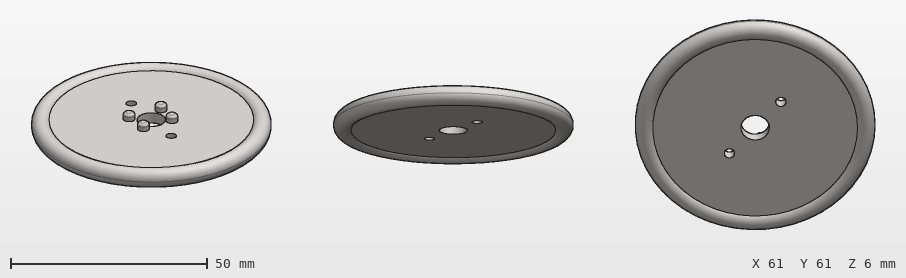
import cadquery as cq

outer_diameter = 61.0
rim_thickness = 5.0
plate_thickness = 3.0
overall_height = 6.0
bore_diameter = 7.2
side_hole_diameter = 2.6
side_hole_offset = 10.0
pin_diameter = 3.0
pin_edge_radius = 0.75
pin_offset_x = 3.2
left_pin_offset_y = 4.7
right_pin_offset_y = 4.2

rim_radius = rim_thickness / 2
rim_center_radius = outer_diameter / 2 - rim_radius
plate_top = plate_thickness / 2
pin_height = overall_height - rim_radius - plate_top


def make_rim():
    """Round-section ring around the plate."""
    return cq.Workplane(obj=cq.Solid.makeTorus(rim_center_radius, rim_radius))


def plate_bottom_plane():
    """Workplane on the underside of the plate."""
    return cq.Workplane("XY").workplane(offset=-plate_top)


def make_plate():
    """Flat disc that ends inside the rim."""
    return plate_bottom_plane().circle(rim_center_radius).extrude(plate_thickness)


def cut_holes(wheel):
    """Central bore and one small hole on each side of it, all through the plate."""
    bore = plate_bottom_plane().circle(bore_diameter / 2)
    side_holes = plate_bottom_plane().pushPoints([(-side_hole_offset, 0), (side_hole_offset, 0)])
    side_holes = side_holes.circle(side_hole_diameter / 2)
    for hole in (bore, side_holes):
        wheel = wheel.cut(hole.extrude(plate_thickness))
    return wheel


def make_pin(x, y):
    """Pin standing on the plate, with a rounded top edge."""
    pin = cq.Workplane("XY").circle(pin_diameter / 2).extrude(plate_top + pin_height)
    return pin.faces(">Z").edges().fillet(pin_edge_radius).translate((x, y, 0))


def add_pins(wheel):
    """Two pairs of pins; the left pair is spaced wider than the right pair."""
    for x, offset_y in ((-pin_offset_x, left_pin_offset_y), (pin_offset_x, right_pin_offset_y)):
        for y in (-offset_y, offset_y):
            wheel = wheel.union(make_pin(x, y))
    return wheel


result = add_pins(cut_holes(make_rim().union(make_plate())))